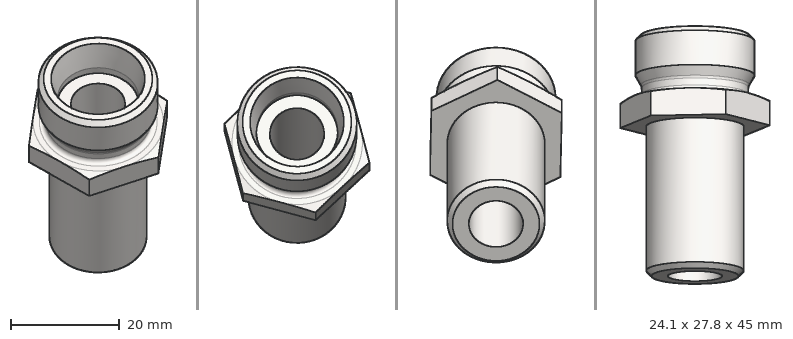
import cadquery as cq
import math

total_height = 45.0
hex_bottom = 28.0
hex_top = 33.05
collar_bottom = 37.58

stem_diameter = 18.0
neck_diameter = 19.7
collar_diameter = 22.0
edge_chamfer = 1.0

neck_fillet = 1.0
undercut_half_angle = math.radians(30)

hex_across_flats = 24.05
hex_across_corners = hex_across_flats / math.cos(math.pi / 6)
hex_chamfer_angle = math.radians(15)

seat_diameter = 17.3
seat_half_angle = math.radians(12)
socket_diameter = 15.0
socket_depth = 7.0
through_diameter = 10.0


def turned(points):
    """Revolve a closed (radius, height) outline about the Z axis."""
    return cq.Workplane("XZ").polyline(points).close().revolve(360, (0, 0), (0, 1))


def make_body():
    """Stem, neck and collar turned together, with a 30 degree undercut below the collar."""
    stem = stem_diameter / 2
    neck = neck_diameter / 2
    collar = collar_diameter / 2
    neck_top = collar_bottom - (collar - neck) / math.tan(undercut_half_angle)
    body = turned([
        (0, 0),
        (stem - edge_chamfer, 0),
        (stem, edge_chamfer),
        (stem, hex_top),
        (neck, hex_top),
        (neck, neck_top),
        (collar, collar_bottom),
        (collar, total_height - edge_chamfer),
        (collar - edge_chamfer, total_height),
        (0, total_height),
    ])
    neck_edge = cq.selectors.BoxSelector(
        (-collar, -collar, neck_top - neck_fillet / 2),
        (collar, collar, neck_top + neck_fillet / 2),
    )
    return body.edges(neck_edge).fillet(neck_fillet)


def make_root_fillet():
    """Disc with a concave quarter-round blending the neck into the hexagon's top face."""
    neck = neck_diameter / 2
    arc_middle = neck_fillet * (1 - math.sqrt(0.5))
    return (
        cq.Workplane("XZ")
        .moveTo(0, hex_top)
        .lineTo(neck + neck_fillet, hex_top)
        .threePointArc((neck + arc_middle, hex_top + arc_middle), (neck, hex_top + neck_fillet))
        .lineTo(0, hex_top + neck_fillet)
        .close()
        .revolve(360, (0, 0), (0, 1))
    )


def make_hexagon():
    """Hexagon whose upper corners are cut by a shallow cone starting at the flats."""
    prism = (
        cq.Workplane("XY", origin=(0, 0, hex_bottom))
        .polygon(6, hex_across_corners)
        .extrude(hex_top - hex_bottom)
        .rotate((0, 0, 0), (0, 0, 1), 30)
    )
    flat = hex_across_flats / 2
    corner = hex_across_corners / 2
    corner_top = hex_top - (corner - flat) * math.tan(hex_chamfer_angle)
    envelope = turned([
        (0, hex_bottom),
        (corner, hex_bottom),
        (corner, corner_top),
        (flat, hex_top),
        (0, hex_top),
    ])
    return prism.intersect(envelope)


def make_bore():
    """Conical seat narrowing to a socket, then a smaller hole through the stem."""
    seat = seat_diameter / 2
    socket = socket_diameter / 2
    through = through_diameter / 2
    seat_depth = (seat - socket) / math.tan(seat_half_angle)
    socket_floor = total_height - socket_depth
    return turned([
        (0, 0),
        (through, 0),
        (through, socket_floor),
        (socket, socket_floor),
        (socket, total_height - seat_depth),
        (seat, total_height),
        (0, total_height),
    ])


result = make_body().union(make_hexagon()).union(make_root_fillet()).cut(make_bore())